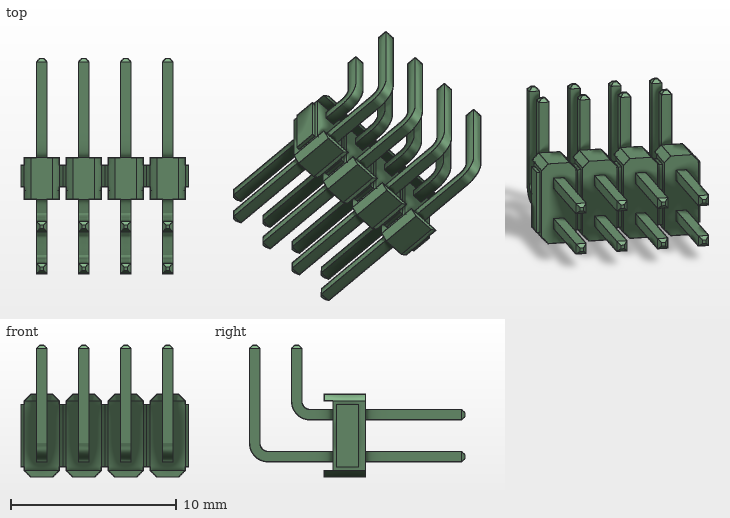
import cadquery as cq
import math


POSITIONS = 4
ROW_LENGTH = 10.16
PITCH = ROW_LENGTH / POSITIONS

TOTAL_DEPTH = 13.04
TOTAL_HEIGHT = 8.0

BLOCK_WIDTH = 2.13
BLOCK_DEPTH = 2.52
BLOCK_HEIGHT = 5.02
BLOCK_CHAMFER = 0.4
LIP_OVERHANG = 0.53

TAB_DEPTH = 1.32
TAB_HEIGHT = 3.78
TAB_REAR_GAP = 0.44

PIN = 0.64
PIN_TAPER = 0.21
BEND_INNER_RADIUS = 0.5
TAIL_LENGTH = 6.01
ROW_SPACING = PITCH

BEND_OUTER_RADIUS = BEND_INNER_RADIUS + PIN
LEG_TOP = TOTAL_HEIGHT - BLOCK_HEIGHT / 2
LOWER_PIN_FRONT = TAIL_LENGTH - TOTAL_DEPTH
UPPER_PIN_FRONT = LOWER_PIN_FRONT + ROW_SPACING


def make_block():
    """Chamfered block whose front is set back between a top and a bottom lip, with side tabs."""
    block = (
        cq.Workplane("XY")
        .box(BLOCK_WIDTH, BLOCK_DEPTH, BLOCK_HEIGHT)
        .edges("|Y")
        .chamfer(BLOCK_CHAMFER)
        .translate((0, -BLOCK_DEPTH / 2, 0))
    )
    front_recess = (
        cq.Workplane("XY")
        .box(BLOCK_WIDTH, LIP_OVERHANG, BLOCK_HEIGHT - 2 * BLOCK_CHAMFER)
        .translate((0, -BLOCK_DEPTH + LIP_OVERHANG / 2, 0))
    )
    tabs = (
        cq.Workplane("XY")
        .box(PITCH, TAB_DEPTH, TAB_HEIGHT)
        .translate((0, -TAB_REAR_GAP - TAB_DEPTH / 2, 0))
    )
    return block.cut(front_recess).union(tabs)


def make_pin(center_z, front_y):
    """Square pin with a straight tail to the rear and a leg bent upward at the front."""
    bottom = center_z - PIN / 2
    top = center_z + PIN / 2
    bend_y = front_y + BEND_OUTER_RADIUS
    bend_z = bottom + BEND_OUTER_RADIUS
    inner_reach = BEND_INNER_RADIUS * math.sqrt(0.5)
    outer_reach = BEND_OUTER_RADIUS * math.sqrt(0.5)
    return (
        cq.Workplane("YZ")
        .moveTo(TAIL_LENGTH, bottom)
        .lineTo(bend_y, bottom)
        .threePointArc((bend_y - outer_reach, bend_z - outer_reach), (front_y, bend_z))
        .lineTo(front_y, LEG_TOP)
        .lineTo(front_y + PIN, LEG_TOP)
        .lineTo(front_y + PIN, bend_z)
        .threePointArc((bend_y - inner_reach, bend_z - inner_reach), (bend_y, top))
        .lineTo(TAIL_LENGTH, top)
        .close()
        .extrude(PIN / 2, both=True)
        .faces(">Y or >Z")
        .chamfer(PIN_TAPER)
    )


def make_position():
    """One header position centred on X = 0."""
    lower_pin = make_pin(-ROW_SPACING / 2, LOWER_PIN_FRONT)
    upper_pin = make_pin(ROW_SPACING / 2, UPPER_PIN_FRONT)
    return make_block().union(lower_pin).union(upper_pin)


positions = []
for index in range(POSITIONS):
    offset = (index - (POSITIONS - 1) / 2) * PITCH
    positions.append(make_position().translate((offset, 0, 0)).solids().val())

result = cq.Compound.makeCompound(positions)